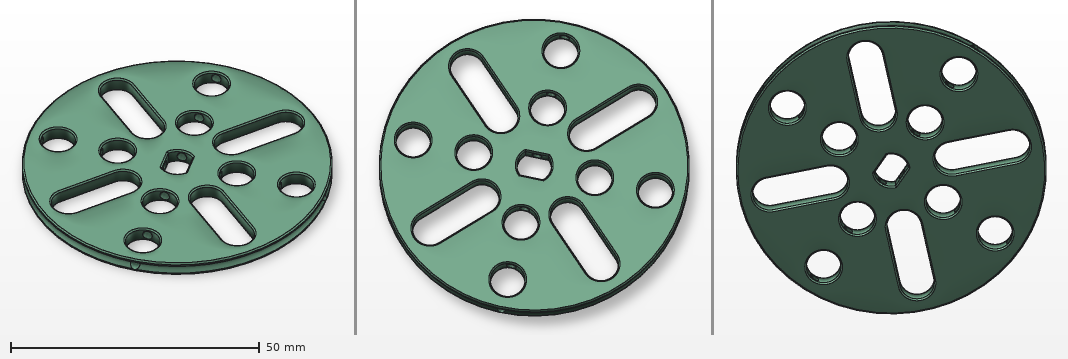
import cadquery as cq

disc_diameter = 62.5
thickness = 3.1
edge_chamfer = 0.3

groove_width = 1.9
groove_depth = 0.95

hole_diameter = 7.0
inner_radius = 12.5
outer_radius = 25.0
shaft_flat_width = 5.1

cross_hole_diameter = 2.0
cross_hole_length = 1.2 * disc_diameter

quarter_turns = [0, 90, 180, 270]
diagonal = 45


def spin(body, angle):
    """Turn a body about the disc axis."""
    return body.rotate((0, 0, 0), (0, 0, 1), angle)


def make_cylinder(diameter, length):
    """Cylinder along Z, centred on the origin."""
    return cq.Workplane("XY", origin=(0, 0, -length / 2)).circle(diameter / 2).extrude(length)


def make_disc():
    """Disc with the V groove in its rim. The seam lies on a diagonal, clear of the cross holes."""
    rim = disc_diameter / 2
    half_thickness = thickness / 2
    half_groove = groove_width / 2
    profile = cq.Workplane("XZ").polyline(
        [
            (0, -half_thickness),
            (rim, -half_thickness),
            (rim, -half_groove),
            (rim - groove_depth, 0),
            (rim, half_groove),
            (rim, half_thickness),
            (0, half_thickness),
        ]
    )
    return spin(profile.close().revolve(360, (0, 0, 0), (0, 1, 0)), diagonal)


def make_shaft_hole():
    """Central hole cutter: a cylinder with two flats parallel to Y."""
    flats = cq.Workplane("XY").box(shaft_flat_width, hole_diameter, thickness)
    return make_cylinder(hole_diameter, thickness).intersect(flats)


def make_slot():
    """Slot cutter along +X, with its end centres on the two hole rings."""
    length = outer_radius - inner_radius + hole_diameter
    centre = ((inner_radius + outer_radius) / 2, 0, -thickness / 2)
    return cq.Workplane("XY", origin=centre).slot2D(length, hole_diameter).extrude(thickness)


def make_cross_hole():
    """Cutter along X. Its seam lies off the mid-plane, clear of the bottom of the V groove."""
    return make_cylinder(cross_hole_diameter, cross_hole_length).rotate((0, 0, 0), (0, 1, 0), 90)


result = make_disc().cut(make_shaft_hole())

round_hole = spin(make_cylinder(hole_diameter, thickness), diagonal)
for turn in quarter_turns:
    for ring_radius in (inner_radius, outer_radius):
        result = result.cut(spin(round_hole.translate((ring_radius, 0, 0)), turn))
    result = result.cut(spin(make_slot(), turn + diagonal))

result = result.faces("|Z").edges().chamfer(edge_chamfer)

for turn in (0, 90):
    result = result.cut(spin(make_cross_hole(), turn))